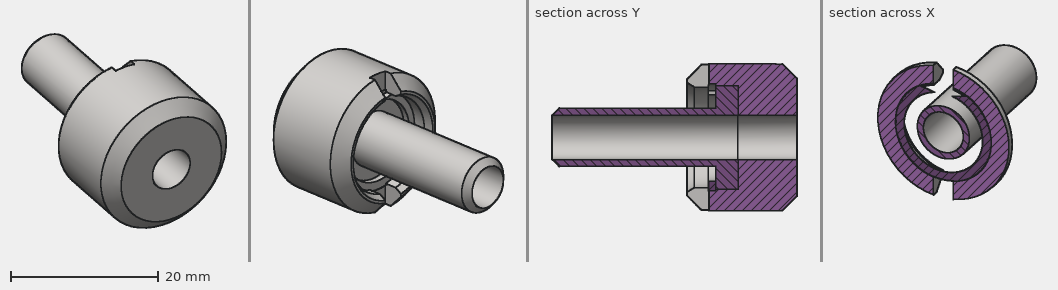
import cadquery as cq
import math

total_length = 33.3
housing_length = 15.0
housing_diameter = 20.0
housing_chamfer = 2.0
housing_front = total_length - housing_length

passage_diameter = 6.0

socket_diameter = 14.0
lead_in_height = 0.6
lead_in_length = 1.03
slot_width = 3.0
slot_depth = 3.0

ring_offset = 2.93
ring_thickness = 1.0
ring_outer_diameter = 14.5
ring_inner_diameter = 11.9
ring_front = housing_front + ring_offset
ring_gap_half_width = 1.33
ring_end_angle = 14.6

tube_diameter = 8.0
tube_chamfer = (tube_diameter - passage_diameter) / 2
flange_length = 3.0
flange_front = ring_front + ring_thickness
socket_floor = flange_front + flange_length


def cylinder(diameter, start, end):
    """Solid cylinder along X between two X positions."""
    return cq.Workplane("YZ", origin=(start, 0, 0)).circle(diameter / 2).extrude(end - start)


def make_lead_in():
    """Cone that widens the socket towards its open end."""
    socket_radius = socket_diameter / 2
    return (
        cq.Workplane("XY")
        .moveTo(housing_front, 0)
        .lineTo(housing_front, socket_radius + lead_in_height)
        .lineTo(housing_front + lead_in_length, socket_radius)
        .lineTo(housing_front + lead_in_length, 0)
        .close()
        .revolve(360, (0, 0, 0), (1, 0, 0))
    )


def make_housing():
    """Chamfered cap with a grooved socket and a slot across its open end."""
    body = cylinder(housing_diameter, housing_front, total_length)
    body = body.faces("<X or >X").chamfer(housing_chamfer)
    socket = cylinder(socket_diameter, housing_front, socket_floor)
    body = body.cut(socket)
    groove = cylinder(ring_outer_diameter, ring_front, flange_front)
    passage = cylinder(passage_diameter, socket_floor, total_length)
    slot = cq.Workplane("XY").box(slot_depth, slot_width, housing_diameter, centered=(False, True, True))
    slot = slot.translate((housing_front, 0, 0))
    return body.cut(make_lead_in()).cut(groove).cut(passage).cut(slot)


def make_tube():
    """Tube with a flange on its inner end and a chamfer on its free end."""
    stem = cylinder(tube_diameter, 0, flange_front)
    flange = cylinder(socket_diameter, flange_front, socket_floor)
    passage = cylinder(passage_diameter, 0, socket_floor)
    stem = stem.faces("<X").chamfer(tube_chamfer)
    return stem.union(flange).cut(passage)


def make_retaining_ring():
    """Flat ring, open at the top, with a gap that widens outwards."""
    ring = cylinder(ring_outer_diameter, ring_front, flange_front)
    ring = ring.cut(cylinder(ring_inner_diameter, ring_front, flange_front))
    inner_radius = ring_inner_diameter / 2
    outer_radius = ring_outer_diameter / 2
    tip_height = math.sqrt(inner_radius**2 - ring_gap_half_width**2)
    end_run = outer_radius - ring_gap_half_width
    outer_height = tip_height + end_run * math.tan(math.radians(ring_end_angle))
    gap = (
        cq.Workplane("YZ", origin=(ring_front, 0, 0))
        .moveTo(-ring_gap_half_width, tip_height)
        .lineTo(ring_gap_half_width, tip_height)
        .lineTo(outer_radius, outer_height)
        .lineTo(-outer_radius, outer_height)
        .close()
        .extrude(ring_thickness)
    )
    crown = (
        cq.Workplane("YZ", origin=(ring_front, 0, outer_height))
        .rect(2 * outer_radius, 2 * (outer_radius - outer_height))
        .extrude(ring_thickness)
    )
    return ring.cut(gap).cut(crown)


housing = make_housing()
tube = make_tube()
retaining_ring = make_retaining_ring()

result = cq.Compound.makeCompound([housing.val(), tube.val(), retaining_ring.val()])